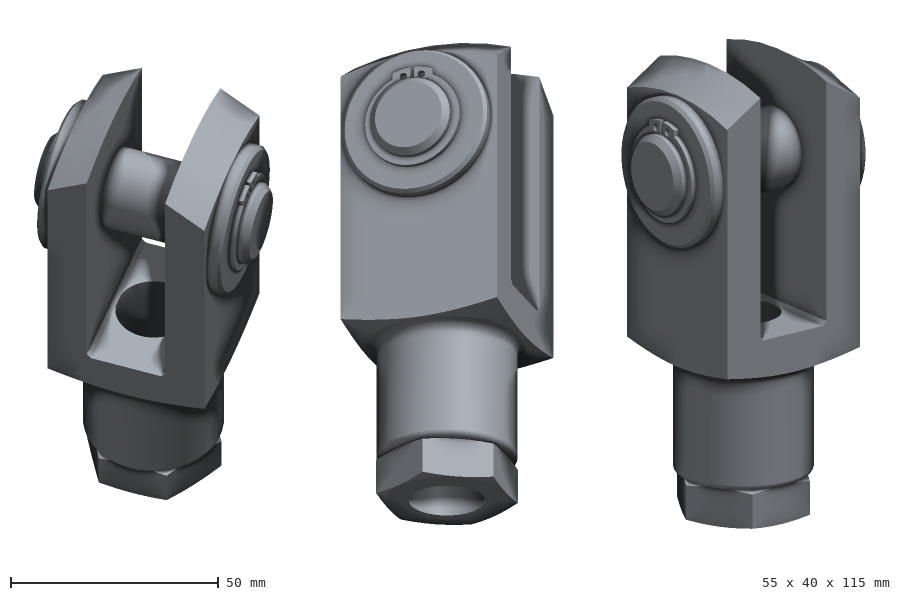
import cadquery as cq
import math

total_height = 115.0
fork_width = 40.0
half_width = fork_width / 2
axis_height = 90.0

slot_width = 20.0
slot_floor = 50.0
slot_corner = 1.0
block_bottom = 40.0
crown_radius = 65.0
crown_angle = 30.0
shoulder_angle = 15.0
shank_diameter = 34.0
shank_radius = shank_diameter / 2
shank_fillet = 2.5
shank_end_round = 1.5
thread_bore = 18.4

nut_height = 10.0
nut_across_flats = 30.0
nut_face_diameter = 29.7
nut_chamfer_angle = 15.0

pin_length = 55.0
pin_diameter = 20.0
pin_chamfer = 1.5
collar_diameter = 37.0
collar_thickness = 3.5
collar_chamfer = 0.8
clip_diameter = 24.0
clip_thickness = 1.3
clip_ear_radius = 13.5
clip_ear_width = 10.1
clip_gap = 1.0
clip_hole_diameter = 2.0
clip_hole_offset = 2.3
clip_hole_height = 11.3


def crown_envelope():
    """Double cone about X that rounds and slopes the tops of the fork arms."""
    inner_x = slot_width / 2
    outer_radius = crown_radius - (half_width - inner_x) * math.tan(math.radians(crown_angle))
    profile = [
        (-half_width, 0),
        (-half_width, outer_radius),
        (-inner_x, crown_radius),
        (inner_x, crown_radius),
        (half_width, outer_radius),
        (half_width, 0),
    ]
    cone = cq.Workplane("XY").polyline(profile).close().revolve(360, (0, 0, 0), (1, 0, 0))
    return cone.translate((0, 0, total_height - crown_radius))


def turned_envelope():
    """Solid about Z: round-ended shank, filleted neck and conical shoulder."""
    fillet_end = shank_radius + shank_fillet
    fillet_start_height = block_bottom - shank_fillet
    fillet_mid = shank_fillet * math.sqrt(0.5)
    end_mid = shank_end_round * math.sqrt(0.5)
    outer_radius = fork_width
    shoulder_rise = (outer_radius - fillet_end) * math.tan(math.radians(shoulder_angle))
    return (
        cq.Workplane("XZ")
        .moveTo(0, nut_height)
        .lineTo(shank_radius - shank_end_round, nut_height)
        .threePointArc(
            (shank_radius - shank_end_round + end_mid, nut_height + shank_end_round - end_mid),
            (shank_radius, nut_height + shank_end_round),
        )
        .lineTo(shank_radius, fillet_start_height)
        .threePointArc(
            (fillet_end - fillet_mid, fillet_start_height + fillet_mid),
            (fillet_end, block_bottom),
        )
        .lineTo(outer_radius, block_bottom + shoulder_rise)
        .lineTo(outer_radius, total_height)
        .lineTo(0, total_height)
        .close()
        .revolve(360, (0, 0, 0), (0, 1, 0))
    )


def make_slot():
    """Open-topped slot through Y with small bevels along its floor."""
    slot = cq.Workplane("XY").box(
        slot_width, fork_width, total_height - slot_floor, centered=(True, True, False)
    )
    return slot.edges("<Z and |Y").chamfer(slot_corner).translate((0, 0, slot_floor))


def make_fork():
    block = cq.Workplane("XY").box(fork_width, fork_width, total_height, centered=(True, True, False))
    upper_block = block.intersect(crown_envelope()).intersect(block.translate((0, 0, slot_floor)))
    lower_block = block.intersect(block.translate((0, 0, slot_floor - total_height)))
    fork = upper_block.union(lower_block).intersect(turned_envelope()).cut(make_slot())
    bore = cq.Workplane("XY").circle(thread_bore / 2).extrude(slot_floor)
    pin_hole = (
        cq.Workplane("YZ").center(0, axis_height).circle(pin_diameter / 2).extrude(half_width, both=True)
    )
    return fork.cut(bore).cut(pin_hole)


def make_nut():
    """Hexagon nut with corners on the X axis and both faces chamfered conically."""
    across_corners = nut_across_flats / math.cos(math.radians(30))
    corner_radius = across_corners / 2
    face_radius = nut_face_diameter / 2
    corner_drop = (corner_radius - face_radius) * math.tan(math.radians(nut_chamfer_angle))
    profile = [
        (0, 0),
        (face_radius, 0),
        (corner_radius, corner_drop),
        (corner_radius, nut_height - corner_drop),
        (face_radius, nut_height),
        (0, nut_height),
    ]
    envelope = cq.Workplane("XZ").polyline(profile).close().revolve(360, (0, 0, 0), (0, 1, 0))
    hexagon = cq.Workplane("XY").polygon(6, across_corners).extrude(nut_height)
    bore = cq.Workplane("XY").circle(thread_bore / 2).extrude(nut_height)
    return hexagon.intersect(envelope).cut(bore)


def make_clip():
    """Retaining clip lying on the YZ plane, with two drilled ears and a gap at the top."""
    ring = cq.Workplane("YZ").circle(clip_diameter / 2).extrude(clip_thickness)
    ear_strip = (
        cq.Workplane("YZ")
        .rect(clip_ear_width, clip_ear_radius)
        .extrude(clip_thickness)
        .translate((0, 0, clip_ear_radius / 2))
    )
    ears = cq.Workplane("YZ").circle(clip_ear_radius).extrude(clip_thickness).intersect(ear_strip)
    gap = (
        cq.Workplane("YZ")
        .rect(clip_gap, clip_ear_radius)
        .extrude(clip_thickness)
        .translate((0, 0, clip_ear_radius / 2))
    )
    holes = (
        cq.Workplane("YZ")
        .pushPoints([(-clip_hole_offset, clip_hole_height), (clip_hole_offset, clip_hole_height)])
        .circle(clip_hole_diameter / 2)
        .extrude(clip_thickness)
    )
    return ring.union(ears).cut(gap).cut(holes)


def make_pin():
    """Pin carrying the same collar and clip outside each fork arm."""
    pin = (
        cq.Workplane("YZ")
        .circle(pin_diameter / 2)
        .extrude(pin_length / 2, both=True)
        .faces("<X or >X")
        .chamfer(pin_chamfer)
    )
    collar = (
        cq.Workplane("YZ")
        .circle(collar_diameter / 2)
        .extrude(collar_thickness)
        .faces(">X")
        .chamfer(collar_chamfer)
        .translate((half_width, 0, 0))
    )
    clip = make_clip().translate((half_width + collar_thickness, 0, 0))
    end_hardware = collar.union(clip)
    for hardware in (end_hardware, end_hardware.mirror("YZ")):
        pin = pin.union(hardware)
    return pin.translate((0, 0, axis_height))


fork = make_fork()
nut = make_nut()
pin = make_pin()

result = cq.Compound.makeCompound([body.solids().val() for body in (fork, nut, pin)])